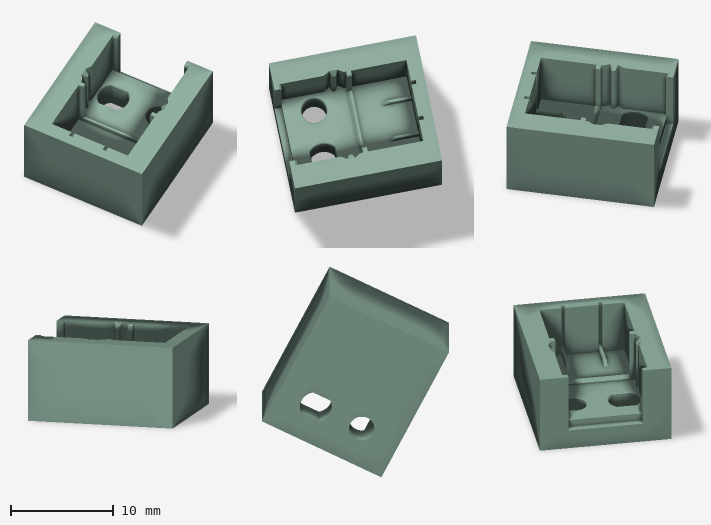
import cadquery as cq

BLOCK_X = 13.0
BLOCK_Y = 14.61
BLOCK_Z = 8.0

REAR_FLOOR_Z = 2.75
FRONT_FLOOR_Z = 2.67
SILL_Z = 2.0

POCKET_X = 8.4
FRONT_WALL = 1.41
LIP_THICKNESS = 0.71
OPENING_X = 7.36
LIP_CHAMFER = 0.2
REAR_POCKET_Y = 6.5
LIP_Y = BLOCK_Y - LIP_THICKNESS
RIDGE_BACK_Y = LIP_Y - REAR_POCKET_Y

RIDGE_Y = 0.48
RIDGE_HEIGHT = 0.42
RIDGE_CHAMFER = 0.24
RIDGE_TOP_Z = REAR_FLOOR_Z + RIDGE_HEIGHT
RIDGE_FRONT_Y = RIDGE_BACK_Y - RIDGE_Y
POST_CHAMFER_X = 0.1
POST_CHAMFER_Y = 0.05

CLIP_Y = 8.61
NOTCH_DEPTH = 0.36
NOTCH_MOUTH = 1.98
NOTCH_BASE = 0.8
BEAD_BASE = 0.76
BEAD_PROTRUSION = 0.5
BEAD_TIP_WIDTH = 0.34
BEAD_TIP_RADIUS = 0.15
BEAD_TOP_DROP = 0.425

HOLE_SPACING = 5.0
HOLE_Y = 10.91
ROUND_HOLE_D = 2.47
FLAT_HOLE_D = 3.1
FLAT_HOLE_WIDTH = 2.47
HOLE_CHAMFER = 0.09

LEAD_X = (-1.85, 1.85)
RIB_WIDTH = 0.37
RIB_TIP_Y = 4.35
RIB_HEIGHT = 0.6
RIB_CHAMFER_X = 0.07
RIB_CHAMFER_Z = 0.15
SLOT_DEPTH = 0.49
SLOT_Y = FRONT_WALL - SLOT_DEPTH


def box(x_size, y_range, z_range, x_centre=0.0):
    """Box centred on x_centre that fills the given Y and Z ranges."""
    y0, y1 = y_range
    z0, z1 = z_range
    return (
        cq.Workplane("XY")
        .box(x_size, y1 - y0, z1 - z0, centered=(True, False, False))
        .translate((x_centre, y0, z0))
    )


def both_sides(right_half):
    """The given shape together with its mirror image across X = 0."""
    return right_half.union(right_half.mirror("YZ"))


def cavity():
    """Both compartments and the opening through the back wall."""
    front = box(POCKET_X, (FRONT_WALL, RIDGE_FRONT_Y), (FRONT_FLOOR_Z, BLOCK_Z))
    rear = box(POCKET_X, (RIDGE_BACK_Y, LIP_Y), (REAR_FLOOR_Z, BLOCK_Z))
    above_ridge = box(OPENING_X, (RIDGE_FRONT_Y, RIDGE_BACK_Y), (RIDGE_TOP_Z, BLOCK_Z))
    opening = box(OPENING_X, (LIP_Y, BLOCK_Y), (SILL_Z, BLOCK_Z))
    return front.union(rear).union(above_ridge).union(opening)


def wedge_along_x(length, points):
    """Prism centred on X = 0 from an outline of (Y, Z) points."""
    return cq.Workplane("YZ").polyline(points).close().extrude(length / 2, both=True)


def ridge_chamfer():
    """Slope on the back edge of the ridge."""
    return wedge_along_x(OPENING_X, [
        (RIDGE_BACK_Y, RIDGE_TOP_Z - RIDGE_CHAMFER),
        (RIDGE_BACK_Y, RIDGE_TOP_Z),
        (RIDGE_BACK_Y - RIDGE_CHAMFER, RIDGE_TOP_Z),
    ])


def lip_chamfer():
    """Slope on the inner top edge of the two back lips."""
    return wedge_along_x(POCKET_X, [
        (LIP_Y, BLOCK_Z - LIP_CHAMFER),
        (LIP_Y, BLOCK_Z),
        (LIP_Y + LIP_CHAMFER, BLOCK_Z),
    ])


def post_chamfers():
    """Slopes on the top inner and back edges of the two posts."""
    inner = (
        cq.Workplane("XZ", origin=(0, RIDGE_BACK_Y, 0))
        .moveTo(OPENING_X / 2, BLOCK_Z - POST_CHAMFER_X)
        .lineTo(OPENING_X / 2, BLOCK_Z)
        .lineTo(OPENING_X / 2 + POST_CHAMFER_X, BLOCK_Z)
        .close()
        .extrude(RIDGE_Y)
    )
    back = wedge_along_x(POCKET_X, [
        (RIDGE_BACK_Y, BLOCK_Z - POST_CHAMFER_Y),
        (RIDGE_BACK_Y, BLOCK_Z),
        (RIDGE_BACK_Y - POST_CHAMFER_Y, BLOCK_Z),
    ])
    return both_sides(inner).union(back)


def clip_notches():
    """Trapezoid notch down to the rear floor in each side wall."""
    wall_x = POCKET_X / 2
    notch = (
        cq.Workplane("XY", origin=(0, CLIP_Y, REAR_FLOOR_Z))
        .moveTo(wall_x, -NOTCH_MOUTH / 2)
        .lineTo(wall_x + NOTCH_DEPTH, -NOTCH_BASE / 2)
        .lineTo(wall_x + NOTCH_DEPTH, NOTCH_BASE / 2)
        .lineTo(wall_x, NOTCH_MOUTH / 2)
        .close()
        .extrude(BLOCK_Z - REAR_FLOOR_Z)
    )
    return both_sides(notch)


def clip_beads():
    """Round-tipped bead in each notch, its top sloping down to the tip."""
    base_x = POCKET_X / 2 + NOTCH_DEPTH
    tip_x = base_x - BEAD_PROTRUSION
    bead = (
        cq.Workplane("XY", origin=(0, CLIP_Y, REAR_FLOOR_Z))
        .moveTo(base_x, -BEAD_BASE / 2)
        .lineTo(base_x, BEAD_BASE / 2)
        .lineTo(tip_x, BEAD_TIP_WIDTH / 2)
        .lineTo(tip_x, -BEAD_TIP_WIDTH / 2)
        .close()
        .extrude(BLOCK_Z - REAR_FLOOR_Z)
        .edges("|Z and <X")
        .fillet(BEAD_TIP_RADIUS)
    )
    slope = (
        cq.Workplane("XZ", origin=(0, CLIP_Y, 0))
        .moveTo(base_x, BLOCK_Z)
        .lineTo(tip_x, BLOCK_Z)
        .lineTo(tip_x, BLOCK_Z - BEAD_TOP_DROP)
        .close()
        .extrude(BEAD_BASE, both=True)
    )
    return both_sides(bead.cut(slope))


def hole_flare(diameter):
    """Flare that widens by the hole chamfer up to the rear floor."""
    return (
        cq.Workplane("XY", origin=(0, 0, REAR_FLOOR_Z))
        .circle(diameter / 2 + HOLE_CHAMFER)
        .workplane(offset=-HOLE_CHAMFER)
        .circle(diameter / 2)
        .loft(ruled=True)
    )


def round_hole():
    """Plain through hole with a flared upper rim."""
    shaft = cq.Workplane("XY").circle(ROUND_HOLE_D / 2).extrude(REAR_FLOOR_Z)
    return shaft.union(hole_flare(ROUND_HOLE_D)).translate((HOLE_SPACING / 2, HOLE_Y, 0))


def flat_hole():
    """Through hole with two flats facing Y and a flared upper rim."""
    half_width = FLAT_HOLE_WIDTH / 2
    flare_z = REAR_FLOOR_Z - HOLE_CHAMFER
    flats = wedge_along_x(2 * FLAT_HOLE_D, [
        (-half_width, 0),
        (half_width, 0),
        (half_width, flare_z),
        (half_width + HOLE_CHAMFER, REAR_FLOOR_Z),
        (-half_width - HOLE_CHAMFER, REAR_FLOOR_Z),
        (-half_width, flare_z),
    ])
    shaft = cq.Workplane("XY").circle(FLAT_HOLE_D / 2).extrude(REAR_FLOOR_Z)
    hole = shaft.union(hole_flare(FLAT_HOLE_D)).intersect(flats)
    return hole.translate((-HOLE_SPACING / 2, HOLE_Y, 0))


def wall_slot(x):
    """Slot in the inner face of the front wall, above a lead rib."""
    return box(RIB_WIDTH, (SLOT_Y, FRONT_WALL), (FRONT_FLOOR_Z, BLOCK_Z), x)


def lead_rib(x):
    """Rib with bevelled top edges that ramps down to the floor at its tip."""
    top_z = FRONT_FLOOR_Z + RIB_HEIGHT
    half_width = RIB_WIDTH / 2
    section = (
        cq.Workplane("XZ", origin=(x, RIB_TIP_Y, 0))
        .moveTo(-half_width, FRONT_FLOOR_Z)
        .lineTo(half_width, FRONT_FLOOR_Z)
        .lineTo(half_width, top_z - RIB_CHAMFER_Z)
        .lineTo(half_width - RIB_CHAMFER_X, top_z)
        .lineTo(-half_width + RIB_CHAMFER_X, top_z)
        .lineTo(-half_width, top_z - RIB_CHAMFER_Z)
        .close()
        .extrude(RIB_TIP_Y - SLOT_Y)
    )
    ramp = wedge_along_x(BLOCK_X, [
        (RIB_TIP_Y, FRONT_FLOOR_Z),
        (RIB_TIP_Y, top_z),
        (RIB_TIP_Y - RIB_HEIGHT, top_z),
    ])
    return section.cut(ramp)


result = box(BLOCK_X, (0, BLOCK_Y), (0, BLOCK_Z)).cut(cavity())
result = result.cut(ridge_chamfer()).cut(lip_chamfer()).cut(post_chamfers())
result = result.cut(clip_notches()).union(clip_beads())
result = result.cut(round_hole()).cut(flat_hole())
for lead_x in LEAD_X:
    result = result.cut(wall_slot(lead_x)).union(lead_rib(lead_x))